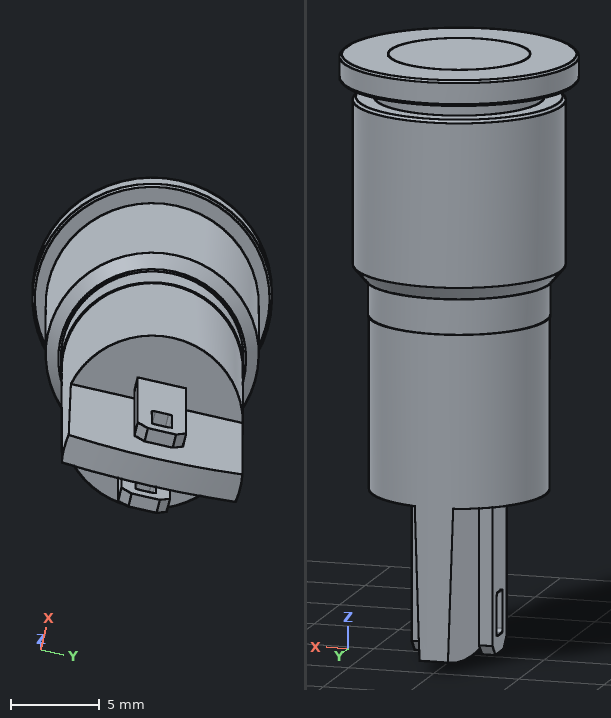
import cadquery as cq

TOTAL_HEIGHT = 34.7

FLANGE_DIAMETER = 13.5
FLANGE_THICKNESS = 1.5
FLANGE_CHAMFER = 0.15
LENS_DIAMETER = 7.98
LENS_RECESS_DIAMETER = 8.0
LENS_GAP_DEPTH = 0.1

NECK_DIAMETER = 9.6
NECK_TOP_DIAMETER = 9.82
NECK_HEIGHT = 0.97
NECK_TAPER_HEIGHT = 0.3

BODY_DIAMETER = 12.0
BODY_HEIGHT = 10.5
BODY_TOP_CHAMFER = 0.17
BODY_BOTTOM_DIAMETER = 10.6
BODY_TAPER_HEIGHT = 0.85
COLLAR_DIAMETER = 10.3
COLLAR_HEIGHT = 2.08
BARREL_DIAMETER = 10.2
BARREL_HEIGHT = 10.05

DIVIDER_TOP_WIDTH = 2.25
DIVIDER_TIP_WIDTH = 1.63
DIVIDER_EDGE_RISE = 0.7

TERMINAL_THICKNESS = 0.8
TERMINAL_WIDTH = 2.8
TERMINAL_OFFSET = 1.98
TERMINAL_TIP_Z = 0.28
TERMINAL_CHAMFER_WIDTH = 0.6
TERMINAL_CHAMFER_HEIGHT = 0.65
EYE_WIDTH = 1.18
EYE_HEIGHT = 2.5
EYE_BOTTOM_Z = 1.32
EYE_CORNER_RADIUS = 0.2

flange_bottom_z = TOTAL_HEIGHT - FLANGE_THICKNESS
body_top_z = flange_bottom_z - NECK_HEIGHT
body_bottom_z = body_top_z - BODY_HEIGHT
collar_bottom_z = body_bottom_z - COLLAR_HEIGHT
barrel_bottom_z = collar_bottom_z - BARREL_HEIGHT


def make_housing():
    """Revolve the stepped half profile around the Z axis."""
    flange_radius = FLANGE_DIAMETER / 2
    neck_radius = NECK_DIAMETER / 2
    body_radius = BODY_DIAMETER / 2
    collar_radius = COLLAR_DIAMETER / 2
    barrel_radius = BARREL_DIAMETER / 2
    profile = [
        (0, TOTAL_HEIGHT),
        (flange_radius - FLANGE_CHAMFER, TOTAL_HEIGHT),
        (flange_radius, TOTAL_HEIGHT - FLANGE_CHAMFER),
        (flange_radius, flange_bottom_z + FLANGE_CHAMFER),
        (flange_radius - FLANGE_CHAMFER, flange_bottom_z),
        (NECK_TOP_DIAMETER / 2, flange_bottom_z),
        (neck_radius, flange_bottom_z - NECK_TAPER_HEIGHT),
        (neck_radius, body_top_z),
        (body_radius - BODY_TOP_CHAMFER, body_top_z),
        (body_radius, body_top_z - BODY_TOP_CHAMFER),
        (body_radius, body_bottom_z + BODY_TAPER_HEIGHT),
        (BODY_BOTTOM_DIAMETER / 2, body_bottom_z),
        (collar_radius, body_bottom_z),
        (collar_radius, collar_bottom_z),
        (barrel_radius, collar_bottom_z),
        (barrel_radius, barrel_bottom_z),
        (0, barrel_bottom_z),
    ]
    return cq.Workplane("XZ").polyline(profile).close().revolve(360, (0, 0), (0, 1))


def make_lens_gap():
    """Thin ring-shaped gap between the lens and the flange."""
    return (
        cq.Workplane("XY", origin=(0, 0, TOTAL_HEIGHT - LENS_GAP_DEPTH))
        .circle(LENS_RECESS_DIAMETER / 2)
        .circle(LENS_DIAMETER / 2)
        .extrude(LENS_GAP_DEPTH)
    )


def make_divider():
    """Wedge tapering downward, rounded to the barrel and to an arc at its tip."""
    half_span = BARREL_DIAMETER / 2
    wedge = (
        cq.Workplane("XZ")
        .moveTo(-DIVIDER_TOP_WIDTH / 2, barrel_bottom_z)
        .lineTo(DIVIDER_TOP_WIDTH / 2, barrel_bottom_z)
        .lineTo(DIVIDER_TIP_WIDTH / 2, 0)
        .lineTo(-DIVIDER_TIP_WIDTH / 2, 0)
        .close()
        .extrude(half_span, both=True)
    )
    side_outline = (
        cq.Workplane("YZ")
        .moveTo(-half_span, barrel_bottom_z)
        .lineTo(-half_span, DIVIDER_EDGE_RISE)
        .threePointArc((0, 0), (half_span, DIVIDER_EDGE_RISE))
        .lineTo(half_span, barrel_bottom_z)
        .close()
        .extrude(DIVIDER_TOP_WIDTH, both=True)
    )
    barrel = cq.Workplane("XY").circle(half_span).extrude(barrel_bottom_z)
    return wedge.intersect(side_outline).intersect(barrel)


def make_terminal(center_x):
    """Flat terminal with a chamfered tip and a rectangular eye."""
    half_width = TERMINAL_WIDTH / 2
    tip_half_width = half_width - TERMINAL_CHAMFER_WIDTH
    shoulder_z = TERMINAL_TIP_Z + TERMINAL_CHAMFER_HEIGHT
    blade = (
        cq.Workplane("YZ", origin=(center_x, 0, 0))
        .moveTo(-half_width, barrel_bottom_z)
        .lineTo(-half_width, shoulder_z)
        .lineTo(-tip_half_width, TERMINAL_TIP_Z)
        .lineTo(tip_half_width, TERMINAL_TIP_Z)
        .lineTo(half_width, shoulder_z)
        .lineTo(half_width, barrel_bottom_z)
        .close()
        .extrude(TERMINAL_THICKNESS / 2, both=True)
    )
    eye = (
        cq.Workplane("XY", origin=(center_x, 0, EYE_BOTTOM_Z + EYE_HEIGHT / 2))
        .box(TERMINAL_THICKNESS, EYE_WIDTH, EYE_HEIGHT)
        .edges("|X")
        .fillet(EYE_CORNER_RADIUS)
    )
    return blade.cut(eye)


result = make_housing().cut(make_lens_gap()).union(make_divider())
for side in (-1, 1):
    result = result.union(make_terminal(side * TERMINAL_OFFSET))